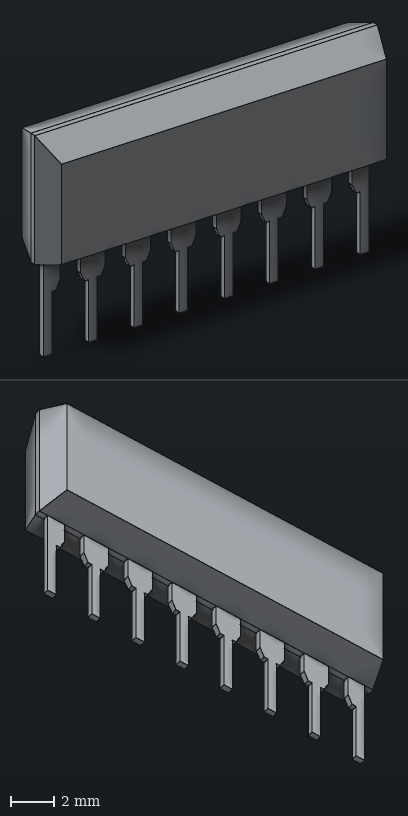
import cadquery as cq


housing_length = 19.3
housing_height = 6.8
housing_thickness = 3.25
rim_thickness = 0.3
bevel_inset = 0.5
top_bevel_inset = 1.0

pin_count = 8
pin_pitch = 2.55
pin_thickness = rim_thickness
pin_length = 5.0
leg_width = 0.5
shoulder_width = 1.4
shoulder_height = 1.7
shoulder_chamfer_width = 0.23
shoulder_chamfer_height = 0.5


def housing_section(x, inset, top_inset):
    """Rectangular outline in the plane at x, set in from the rim."""
    half_length = housing_length / 2 - inset
    bottom = inset
    top = housing_height - top_inset
    return cq.Wire.makePolygon(
        [
            cq.Vector(x, -half_length, bottom),
            cq.Vector(x, half_length, bottom),
            cq.Vector(x, half_length, top),
            cq.Vector(x, -half_length, top),
        ],
        close=True,
    )


def make_housing():
    """Straight rim between two halves that taper to the broad faces."""
    half_thickness = housing_thickness / 2
    half_rim = rim_thickness / 2
    sections = [
        housing_section(-half_thickness, bevel_inset, bevel_inset),
        housing_section(-half_rim, 0, 0),
        housing_section(half_rim, 0, 0),
        housing_section(half_thickness, bevel_inset, top_bevel_inset),
    ]
    return cq.Workplane(cq.Solid.makeLoft(sections, True))


def half_pin_outline(side, shouldered):
    """Points of one pin edge from top to tip; side is +1 or -1 along Y."""
    leg_edge = side * leg_width / 2
    tip = (leg_edge, -pin_length)
    if not shouldered:
        return [(leg_edge, 0), tip]
    shoulder_edge = side * shoulder_width / 2
    chamfer_edge = side * (shoulder_width / 2 - shoulder_chamfer_width)
    return [
        (shoulder_edge, 0),
        (shoulder_edge, shoulder_chamfer_height - shoulder_height),
        (chamfer_edge, -shoulder_height),
        (leg_edge, -shoulder_height),
        tip,
    ]


def make_pin(index):
    """One flat pin; the two end pins have a shoulder only on their inner side."""
    y = (index - (pin_count - 1) / 2) * pin_pitch
    lower_edge = half_pin_outline(-1, shouldered=index > 0)
    upper_edge = half_pin_outline(1, shouldered=index < pin_count - 1)
    return (
        cq.Workplane("YZ", origin=(-pin_thickness / 2, y, 0))
        .polyline(lower_edge + upper_edge[::-1])
        .close()
        .extrude(pin_thickness)
    )


housing = make_housing()
pins = [make_pin(index) for index in range(pin_count)]

result = cq.Compound.makeCompound([housing.val(), *[pin.val() for pin in pins]])